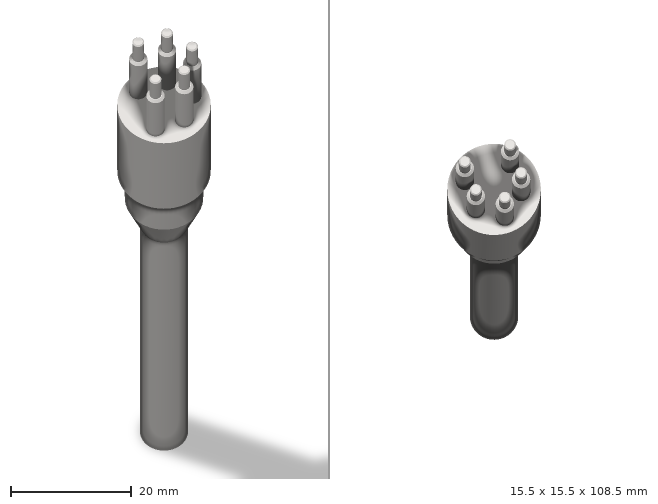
import cadquery as cq

total_height = 108.5

cable_diameter = 8.0
cable_length = 60.0
taper_height = 7.3
neck_diameter = 13.0
neck_height = 7.8
head_diameter = 15.5
head_height = 18.9

pin_base_diameter = 3.0
pin_base_height = 10.0
pin_base_chamfer = 0.4
pin_tip_diameter = 2.0
pin_tip_chamfer = 0.2

single_pin_y = 5.0
pair_pin_x = 4.0
upper_pair_y = 2.1
lower_pair_y = -3.0

taper_bottom = cable_length
neck_bottom = taper_bottom + taper_height
head_bottom = neck_bottom + neck_height
head_top = head_bottom + head_height
pin_height = total_height - head_top


def make_body():
    """Cable, tapered collar, neck and head as one revolved profile."""
    cable_radius = cable_diameter / 2
    neck_radius = neck_diameter / 2
    head_radius = head_diameter / 2
    profile = [
        (0, 0),
        (cable_radius, 0),
        (cable_radius, taper_bottom),
        (neck_radius, neck_bottom),
        (neck_radius, head_bottom),
        (head_radius, head_bottom),
        (head_radius, head_top),
        (0, head_top),
    ]
    return cq.Workplane("XZ").polyline(profile).close().revolve(360, (0, 0), (0, 1))


def make_pin():
    """One pin standing on the origin: thick base, slim tip, both chamfered at the top."""
    base = (
        cq.Workplane("XY")
        .circle(pin_base_diameter / 2)
        .extrude(pin_base_height)
        .faces(">Z")
        .chamfer(pin_base_chamfer)
    )
    tip = (
        cq.Workplane("XY")
        .circle(pin_tip_diameter / 2)
        .extrude(pin_height)
        .faces(">Z")
        .chamfer(pin_tip_chamfer)
    )
    return base.union(tip)


pin_positions = [(0, single_pin_y)]
for pair_y in (upper_pair_y, lower_pair_y):
    pin_positions += [(-pair_pin_x, pair_y), (pair_pin_x, pair_y)]

result = make_body()
pin = make_pin()
for x, y in pin_positions:
    result = result.union(pin.translate((x, y, head_top)))